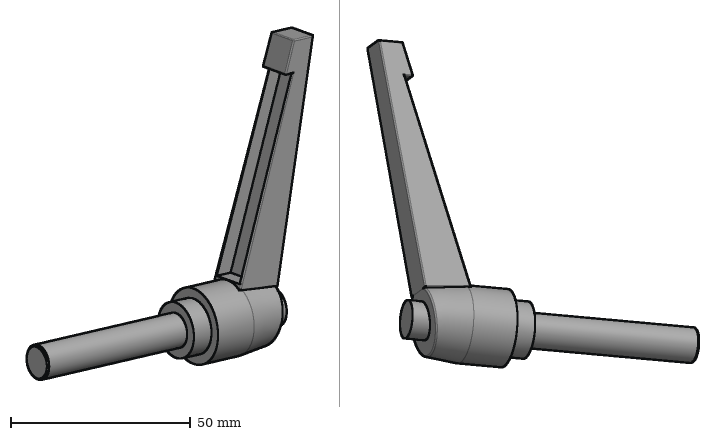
import cadquery as cq


screw_radius = 5.0
screw_end_y = -56.0
screw_chamfer = 0.5
collar_radius = 8.1
collar_end_y = -6.3
head_radius = 5.4
head_end_y = 29.0

hub_radius = 11.0
hub_straight_length = 12.9
cone_length = 13.3
cone_end_radius = 9.6
hub_edge_fillet = 0.5
rear_low = (22.4, -10.0)
rear_high = (25.5, 8.2)

lever_top_z = 78.6
lever_top_back_y = 38.9
lever_top_front_y = 31.8
grip_lip = (28.7, 68.9)
notch_y = 31.2
lever_foot_front = (11.9, 9.4)
lever_foot_back = rear_high
lever_top_half_width = 5.0
lever_foot_half_width = 5.9
lever_edge_fillet = 0.4

pocket_floor_top = (35.0, 66.9)
pocket_floor_foot = (17.4, 11.1)
pocket_foot_rise = 1.7
pocket_top_half_width = 4.65
pocket_foot_half_width = 5.1
mouth_clearance = 4.7


def cylinder(radius, start_y, end_y):
    """Cylinder on the Y axis from start_y up to end_y."""
    base = cq.Workplane("XZ", origin=(0, start_y, 0))
    return base.circle(radius).extrude(start_y - end_y)


def tapered_slab(side_profile, foot_half_width, top_half_width):
    """Side profile extended across X, narrowing from the foot to the lever top."""
    foot_z = lever_foot_back[1]
    slab = cq.Workplane("YZ").polyline(side_profile).close()
    slab = slab.extrude(2 * foot_half_width, both=True)
    taper = (
        cq.Workplane("XZ")
        .polyline([
            (-foot_half_width, foot_z),
            (foot_half_width, foot_z),
            (top_half_width, lever_top_z),
            (-top_half_width, lever_top_z),
        ])
        .close()
        .extrude(2 * lever_top_back_y, both=True)
    )
    return slab.intersect(taper)


def make_hub():
    cone_end_y = hub_straight_length + cone_length
    hub = (
        cq.Workplane("XY")
        .polyline([
            (0, 0),
            (hub_radius, 0),
            (hub_radius, hub_straight_length),
            (cone_end_radius, cone_end_y),
            (0, cone_end_y),
        ])
        .close()
        .revolve(360, (0, 0), (0, 1))
    )
    slope = (rear_high[0] - rear_low[0]) / (rear_high[1] - rear_low[1])
    reach = 2 * hub_radius
    middle_y = rear_low[0] - slope * rear_low[1]
    kept_space = (
        cq.Workplane("YZ")
        .polyline([
            (0, -reach),
            (middle_y - slope * reach, -reach),
            (middle_y + slope * reach, reach),
            (0, reach),
        ])
        .close()
        .extrude(reach, both=True)
    )
    return hub.intersect(kept_space).faces(">Y").edges().fillet(hub_edge_fillet)


def make_lever():
    profile = [
        lever_foot_back,
        (lever_top_back_y, lever_top_z),
        (lever_top_front_y, lever_top_z),
        grip_lip,
        (notch_y, grip_lip[1]),
        lever_foot_front,
    ]
    lever = tapered_slab(profile, lever_foot_half_width, lever_top_half_width)
    side_edges = lever.faces("<X or >X").edges().vals()
    top_front_edge = lever.faces(">Z").edges("<Y").vals()
    lip_edge = lever.edges(cq.NearestToPointSelector((0, *grip_lip))).vals()
    return lever.newObject(side_edges + top_front_edge + lip_edge).fillet(lever_edge_fillet)


def make_pocket():
    foot_y, foot_z = lever_foot_front
    profile = [
        (notch_y, grip_lip[1]),
        pocket_floor_top,
        pocket_floor_foot,
        (foot_y, foot_z + pocket_foot_rise),
        (foot_y - mouth_clearance, foot_z + pocket_foot_rise),
        (notch_y - mouth_clearance, grip_lip[1]),
    ]
    return tapered_slab(profile, pocket_foot_half_width, pocket_top_half_width)


screw = cylinder(screw_radius, screw_end_y, 0).faces("<Y").chamfer(screw_chamfer)
collar = cylinder(collar_radius, collar_end_y, hub_straight_length)
screw_head = cylinder(head_radius, 0, head_end_y)
lever = make_lever().cut(make_pocket())

result = make_hub().union(lever).union(collar).union(screw).union(screw_head)